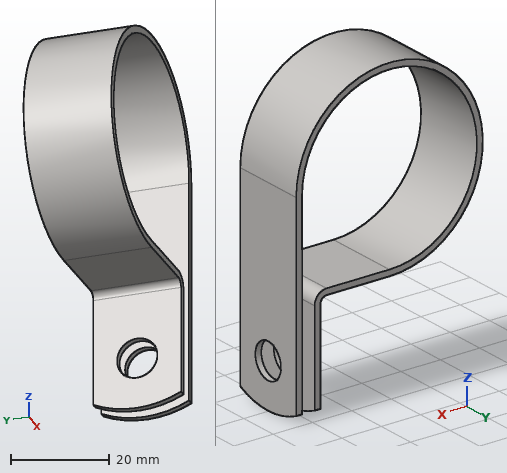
import cadquery as cq
import math

strap_thickness = 1.524
strap_width = 19.05
loop_inner_radius = 22.225
tab_gap = 3.175
bend_inner_radius = strap_thickness
tab_bottom_z = -50.77
tab_end_radius = 22.225
hole_diameter = 8.73
hole_z = -39.65
loop_mid_angle = 135
bend_mid_angle = 45

loop_outer_radius = loop_inner_radius + strap_thickness
bend_outer_radius = bend_inner_radius + strap_thickness
short_tab_outer_x = loop_inner_radius - tab_gap
short_tab_inner_x = short_tab_outer_x - strap_thickness
bend_center_x = short_tab_outer_x - bend_outer_radius
bend_center_z = -loop_inner_radius - bend_outer_radius
half_width = strap_width / 2
tab_corner_z = tab_bottom_z + tab_end_radius - math.sqrt(tab_end_radius**2 - half_width**2)


def polar_point(radius, angle_degrees, center=(0, 0)):
    angle = math.radians(angle_degrees)
    return (center[0] + radius * math.cos(angle), center[1] + radius * math.sin(angle))


def make_strap():
    """Bent strip: long tab, three-quarter loop, flat shelf, bend and short tab."""
    bend_center = (bend_center_x, bend_center_z)
    profile = (
        cq.Workplane("XZ")
        .moveTo(loop_outer_radius, tab_bottom_z)
        .lineTo(loop_outer_radius, 0)
        .threePointArc(polar_point(loop_outer_radius, loop_mid_angle), (0, -loop_outer_radius))
        .lineTo(bend_center_x, -loop_outer_radius)
        .threePointArc(
            polar_point(bend_inner_radius, bend_mid_angle, bend_center),
            (short_tab_inner_x, bend_center_z),
        )
        .lineTo(short_tab_inner_x, tab_bottom_z)
        .lineTo(short_tab_outer_x, tab_bottom_z)
        .lineTo(short_tab_outer_x, bend_center_z)
        .threePointArc(
            polar_point(bend_outer_radius, bend_mid_angle, bend_center),
            (bend_center_x, -loop_inner_radius),
        )
        .lineTo(0, -loop_inner_radius)
        .threePointArc(polar_point(loop_inner_radius, loop_mid_angle), (loop_inner_radius, 0))
        .lineTo(loop_inner_radius, tab_bottom_z)
        .close()
    )
    return profile.extrude(half_width, both=True)


def make_end_envelope():
    """Block around the whole strap whose lower end is the tabs' rounded end."""
    return (
        cq.Workplane("YZ")
        .moveTo(-half_width, loop_outer_radius)
        .lineTo(-half_width, tab_corner_z)
        .threePointArc((0, tab_bottom_z), (half_width, tab_corner_z))
        .lineTo(half_width, loop_outer_radius)
        .close()
        .extrude(loop_outer_radius, both=True)
    )


def make_bolt_hole():
    """Cutter along +X that passes through both tabs."""
    return (
        cq.Workplane("YZ")
        .center(0, hole_z)
        .circle(hole_diameter / 2)
        .extrude(loop_outer_radius + strap_thickness)
    )


result = make_strap().intersect(make_end_envelope()).cut(make_bolt_hole())